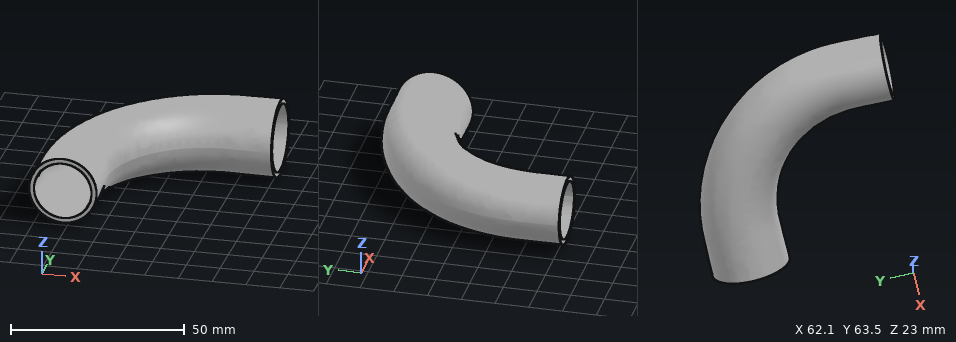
import cadquery as cq
import math

SMALL_END_DIAMETER = 20.0
LARGE_END_DIAMETER = 23.0
WALL_THICKNESS = 1.5
BEND_RADIUS = 40.0
STRAIGHT_LENGTH = 12.0

SECTION_STEPS = 24

BEND_LENGTH = BEND_RADIUS * math.pi / 2
TUBE_LENGTH = BEND_LENGTH + 2 * STRAIGHT_LENGTH


def centreline_frame(distance):
    """Point and direction of the centreline at a distance along it from the small end.

    The centreline runs straight along +Y, turns a quarter bend, then runs straight along +X.
    """
    first_straight = min(distance, STRAIGHT_LENGTH)
    bend_distance = min(max(distance - STRAIGHT_LENGTH, 0), BEND_LENGTH)
    last_straight = max(distance - STRAIGHT_LENGTH - BEND_LENGTH, 0)
    angle = bend_distance / BEND_RADIUS
    x = BEND_RADIUS * (1 - math.cos(angle)) + last_straight
    y = BEND_RADIUS * math.sin(angle) + first_straight
    point = cq.Vector(x, y, 0)
    direction = cq.Vector(math.sin(angle), math.cos(angle), 0)
    return point, direction


def tube_diameter(fraction):
    """Outside diameter at a fraction of the length, growing in an S-curve that is level at both ends."""
    growth = 3 * fraction**2 - 2 * fraction**3
    return SMALL_END_DIAMETER + (LARGE_END_DIAMETER - SMALL_END_DIAMETER) * growth


def tapered_bend(inset):
    """Solid bent bar whose surface lies the given inset inside the outside of the tube."""
    sections = []
    for step in range(SECTION_STEPS + 1):
        fraction = step / SECTION_STEPS
        point, direction = centreline_frame(fraction * TUBE_LENGTH)
        radius = tube_diameter(fraction) / 2 - inset
        sections.append(cq.Wire.makeCircle(radius, point, direction))
    return cq.Workplane(cq.Solid.makeLoft(sections))


outside = tapered_bend(inset=0)
bore = tapered_bend(inset=WALL_THICKNESS)

result = outside.cut(bore)